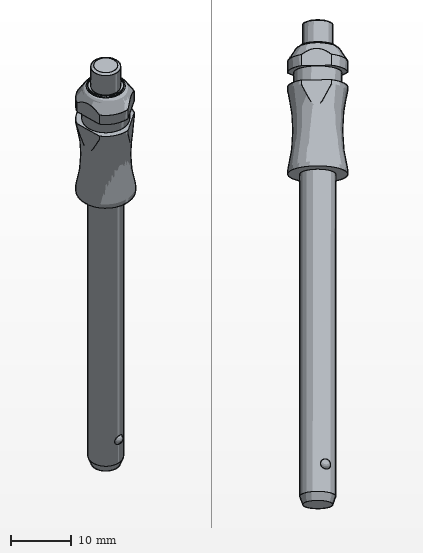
import cadquery as cq

total_length = 83.2
shaft_radius = 3.0
tip_radius = 2.5
tip_height = 1.4

ball_radius = 1.0
ball_height = 6.2
ball_reach = 3.5

head_radius = 5.0
grip_bottom = 57.1
grip_top = 72.1
grip_band = 0.75
waist_radius = 4.2
waist_height = (grip_bottom + grip_top) / 2

neck_radius = 4.0
cap_bottom = 74.6
cone_bottom = 76.55
cone_top = 78.2
cone_top_radius = 3.9
crown_top = 78.9
crown_top_radius = 3.25
crown_bulge = 0.07
cap_top = 79.1

button_radius = 2.5
button_chamfer_width = 0.5
button_chamfer_height = 0.25
groove_radius = 3.0
groove_depth = 0.25

flat_count = 3
flat_distance = 4.3
first_flat_angle = -90


def make_turned_body():
    """Revolve the half profile, with radius along X and height along Z."""
    crown_middle = (
        (cone_top_radius + crown_top_radius) / 2 + crown_bulge,
        (cone_top + crown_top) / 2 + crown_bulge,
    )
    profile = (
        cq.Workplane("XZ")
        .moveTo(0, 0)
        .lineTo(tip_radius, 0)
        .lineTo(shaft_radius, tip_height)
        .lineTo(shaft_radius, grip_bottom)
        .lineTo(head_radius, grip_bottom)
        .lineTo(head_radius, grip_bottom + grip_band)
        .threePointArc((waist_radius, waist_height), (head_radius, grip_top - grip_band))
        .lineTo(head_radius, grip_top)
        .lineTo(neck_radius, grip_top)
        .lineTo(neck_radius, cap_bottom)
        .lineTo(head_radius, cap_bottom)
        .lineTo(head_radius, cone_bottom)
        .lineTo(cone_top_radius, cone_top)
        .threePointArc(crown_middle, (crown_top_radius, crown_top))
        .lineTo(groove_radius, cap_top)
        .lineTo(groove_radius, cap_top - groove_depth)
        .lineTo(button_radius, cap_top - groove_depth)
        .lineTo(button_radius, total_length - button_chamfer_height)
        .lineTo(button_radius - button_chamfer_width, total_length)
        .lineTo(0, total_length)
        .close()
    )
    return profile.revolve(360, (0, 0, 0), (0, 1, 0))


def cut_flats(body):
    """Cut equally spaced flats through the cap and the upper half of the grip."""
    cutter_height = cap_top - waist_height
    cutter = cq.Workplane("XY").box(
        head_radius, 2 * head_radius, cutter_height, centered=(False, True, False)
    ).translate((flat_distance, 0, waist_height))
    for index in range(flat_count):
        angle = first_flat_angle + index * 360 / flat_count
        body = body.cut(cutter.rotate((0, 0, 0), (0, 0, 1), angle))
    return body


def add_balls(body):
    """Add the two locking balls standing out of the shaft along X."""
    for side in (-1, 1):
        center = (side * (ball_reach - ball_radius), 0, ball_height)
        body = body.union(cq.Workplane("XY").sphere(ball_radius).translate(center))
    return body


result = add_balls(cut_flats(make_turned_body()))